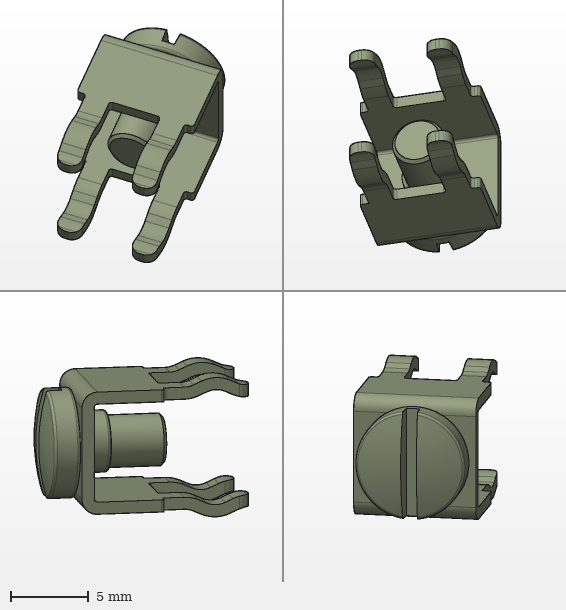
import cadquery as cq
import math

SHEET = 0.8
BRACKET_WIDTH = 8.0
BRACKET_HEIGHT = 8.0
CORNER_INNER_RADIUS = 0.2
CORNER_OUTER_RADIUS = CORNER_INNER_RADIUS + SHEET
LEG_LENGTH = 11.09
LEG_OUTER_X = 3.39
LEG_INNER_X = 1.74
LEG_TIP_RADIUS = 0.7
SHOULDER_DEPTH = 5.39
SHOULDER_RADIUS = 0.2

BUMP_CENTER_DEPTH = 8.85
BUMP_RISE = 0.56
BUMP_ANGLE = math.radians(24)
BEND_INNER_RADIUS = 1.5
BEND_OUTER_RADIUS = BEND_INNER_RADIUS + SHEET

COLLAR_RADIUS = 2.01
COLLAR_END_DEPTH = 2.31
COLLAR_FILLET = 0.2

SCREW_X = -0.03
SCREW_Z = -0.03
SHANK_RADIUS = 1.7
SHANK_LENGTH = 5.98
SHANK_CHAMFER = 0.21
HEAD_RADIUS = 3.56
HEAD_HEIGHT = 2.22
HEAD_EDGE_RADIUS = 0.2
DOME_RADIUS = 11.97
SLOT_FLOOR_Y = 0.69
SLOT_FLOOR_WIDTH = 0.84
SLOT_TOP_WIDTH = 1.04


def rod(radius, start_y, end_y):
    """Cylinder on the Y axis that runs from start_y toward -Y to end_y."""
    return cq.Workplane("XZ", origin=(0, start_y, 0)).circle(radius).extrude(start_y - end_y)


def block_in_sheet_shape(wall_y, half_height, corner_radius, foot_radius, crest_radius):
    """Solid block bounded by one face of the bent sheet, symmetric about Z = 0."""
    bends = foot_radius + crest_radius
    ramp_rise = BUMP_RISE - bends * (1 - math.cos(BUMP_ANGLE))
    half_length = bends * math.sin(BUMP_ANGLE) + ramp_rise / math.tan(BUMP_ANGLE)
    crest_z = half_height + BUMP_RISE

    def on_foot(side, angle):
        """Point on a foot bend, at an angle from its flat end; side is +1 toward the wall."""
        y = -BUMP_CENTER_DEPTH + side * (half_length - foot_radius * math.sin(angle))
        return (y, half_height + foot_radius * (1 - math.cos(angle)))

    def on_crest(side, angle):
        """Point on the crest bend, at an angle from its top."""
        y = -BUMP_CENTER_DEPTH + side * crest_radius * math.sin(angle)
        return (y, crest_z - crest_radius * (1 - math.cos(angle)))

    upper_half = (
        cq.Workplane("YZ")
        .moveTo(wall_y, 0)
        .lineTo(wall_y, half_height)
        .lineTo(*on_foot(1, 0))
        .threePointArc(on_foot(1, BUMP_ANGLE / 2), on_foot(1, BUMP_ANGLE))
        .lineTo(*on_crest(1, BUMP_ANGLE))
        .threePointArc(on_crest(1, 0), on_crest(-1, BUMP_ANGLE))
        .lineTo(*on_foot(-1, BUMP_ANGLE))
        .threePointArc(on_foot(-1, BUMP_ANGLE / 2), on_foot(-1, 0))
        .lineTo(-LEG_LENGTH, half_height)
        .lineTo(-LEG_LENGTH, 0)
        .close()
        .extrude(BRACKET_WIDTH / 2, both=True)
        .edges("|X")
        .edges(">Y")
        .edges(">Z")
        .fillet(corner_radius)
    )
    return upper_half.union(upper_half.mirror("XY"))


def make_plan(sharp_corner):
    """Tall prism with the bracket's outline as seen along Z: a wide back and two narrow legs.

    With sharp_corner, the inside corner between the -X shoulder and its leg is left unrounded.
    """
    height = 2 * BRACKET_HEIGHT
    prism = cq.Workplane("XY").box(BRACKET_WIDTH, SHOULDER_DEPTH, height)
    prism = prism.translate((0, -SHOULDER_DEPTH / 2, 0))
    leg_center_x = (LEG_OUTER_X + LEG_INNER_X) / 2
    for side in (-1, 1):
        leg = cq.Workplane("XY").box(LEG_OUTER_X - LEG_INNER_X, LEG_LENGTH, height)
        leg = leg.edges("|Z and <Y").fillet(LEG_TIP_RADIUS)
        prism = prism.union(leg.translate((side * leg_center_x, -LEG_LENGTH / 2, 0)))

    half_width = BRACKET_WIDTH / 2
    corner_xs = [-half_width, half_width, -LEG_INNER_X, LEG_INNER_X, LEG_OUTER_X]
    if not sharp_corner:
        corner_xs.append(-LEG_OUTER_X)
    for x in corner_xs:
        corner = cq.selectors.NearestToPointSelector((x, -SHOULDER_DEPTH, 0))
        prism = prism.edges("|Z").edges(corner).fillet(SHOULDER_RADIUS)
    return prism


def make_bracket():
    outside = block_in_sheet_shape(
        0, BRACKET_HEIGHT / 2, CORNER_OUTER_RADIUS, BEND_INNER_RADIUS, BEND_OUTER_RADIUS
    )
    inside = block_in_sheet_shape(
        -SHEET, BRACKET_HEIGHT / 2 - SHEET, CORNER_INNER_RADIUS, BEND_OUTER_RADIUS, BEND_INNER_RADIUS
    )
    bent_sheet = outside.cut(inside)

    upper_space = cq.Workplane("XY").box(
        2 * BRACKET_WIDTH, 4 * LEG_LENGTH, 2 * BRACKET_HEIGHT, centered=(True, True, False)
    )
    upper_half = bent_sheet.intersect(make_plan(sharp_corner=False)).intersect(upper_space)
    lower_half = bent_sheet.intersect(make_plan(sharp_corner=True)).cut(upper_space)
    sheet = upper_half.union(lower_half)

    collar = rod(COLLAR_RADIUS, -SHEET, -COLLAR_END_DEPTH).faces("<Y").edges().fillet(COLLAR_FILLET)
    collar_root = cq.selectors.NearestToPointSelector((0, -SHEET, 0))
    sheet_with_collar = sheet.union(collar).edges("%CIRCLE").edges(collar_root).fillet(COLLAR_FILLET)
    bore = rod(SHANK_RADIUS, 0, -COLLAR_END_DEPTH).translate((SCREW_X, 0, SCREW_Z))
    return sheet_with_collar.cut(bore)


def make_screw():
    dome = cq.Workplane("XY").sphere(DOME_RADIUS).translate((0, HEAD_HEIGHT - DOME_RADIUS, 0))
    head = rod(HEAD_RADIUS, HEAD_HEIGHT, 0).intersect(dome)
    head = head.edges("%CIRCLE").fillet(HEAD_EDGE_RADIUS)

    slot = (
        cq.Workplane("XY")
        .polyline([
            (-SLOT_FLOOR_WIDTH / 2, SLOT_FLOOR_Y),
            (SLOT_FLOOR_WIDTH / 2, SLOT_FLOOR_Y),
            (SLOT_TOP_WIDTH / 2, HEAD_HEIGHT),
            (-SLOT_TOP_WIDTH / 2, HEAD_HEIGHT),
        ])
        .close()
        .extrude(HEAD_RADIUS, both=True)
    )
    shank = rod(SHANK_RADIUS, 0, -SHANK_LENGTH).faces("<Y").edges().chamfer(SHANK_CHAMFER)
    return head.cut(slot).union(shank).translate((SCREW_X, 0, SCREW_Z))


bracket = make_bracket()
screw = make_screw()
result = cq.Compound.makeCompound([bracket.val(), screw.val()])